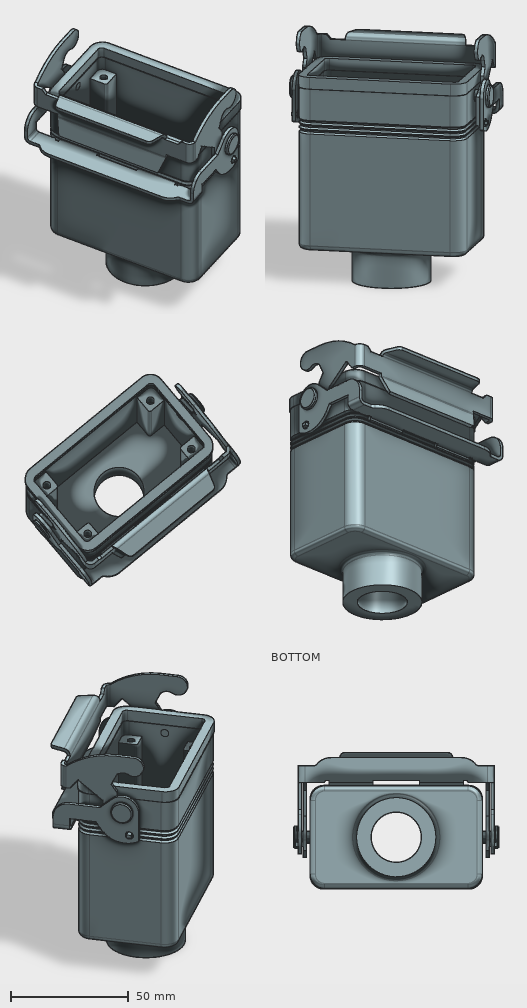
import cadquery as cq
import math

total_height = 107.0
margin = 1.1
half_length = 36.5
half_width = 21.7
rim_half_length = 36.6
rim_half_width = 22.0
rim_top = 91.1
rim_bottom = 85.9
rim_corner = 5.9
body_corner = 6.1
body_bottom = 15.8
body_edge_fillet = 2.1

groove_top = 72.3
groove_count = 3
groove_pitch = 2.0
groove_mouth = 1.8
groove_floor = 0.5
groove_depth = 1.1

mouth_half_length = 32.8
mouth_half_width = 18.0
mouth_corner = 1.8
undercut = 0.3
cavity_corner = 2.7
floor_thickness = 3.7
post_embed = 0.5

post_inner_x = 25.0
post_inner_y = 10.0
post_corner = 1.1
post_top = 79.2
screw_x = 28.6
screw_y = 13.6
screw_radius = 1.6
screw_depth = 12.8
drill_point_angle = 118.0

tube_radius = 16.8
bore_radius = 10.6
tube_fillet = 1.7

sheet = 1.5
bend_outer = 2.9
bend_inner = bend_outer - sheet

pivot_z = 82.0
pivot_radius = 2.6
rivet_end_radius = 1.7
head_radius = 4.8
head_outer_x = 43.5
head_thickness = 1.4
head_chamfer = 0.5

inner_lever_x = 39.5
front_y = -28.0
front_bottom = 89.2
front_top = 99.5
front_low_top = 97.5
raised_end_x = 34.5
raised_end_foot_x = 32.6
lobe_y = 4.3
lobe_radius = 4.4
notch_radius = 4.0
lobe_z = total_height - lobe_radius
hub_edge_bottom = 80.4
hub_bottom = 70.0
hub_back_y = 5.6
hub_back_z = 82.4
neck_edge_y = -9.1
neck_edge_top = 85.1
neck_back_y = -3.0
neck_back_top = 89.8
neck_back_bottom = 86.6
notch_end_y = -3.9
notch_end_rise = 1.0
throat_y = -5.5
throat_z = 93.3
armpit_y = -19.8
armpit_z = 93.5
front_foot_y = -23.3
bow_mid_y = -14.4
bow_mid_z = 105.2
bow_end_y = -3.6

grip_half_length = 26.3
grip_tip_half_length = 23.3
grip_tip_y = -36.0
grip_corner = 2.1

lip_bend_z = 87.7
lip_half_length = 26.8
lip_tip_half_length = 24.2
lip_tip_z = 80.4
lip_tip_y = -30.9
lip_corner = 1.4

peg_y = 3.0
peg_z = 70.9
peg_width = 1.9
peg_height = 1.4
peg_end_x = 42.64

outer_lever_x = 41.6
eye_radius = 7.1
arm_top = 82.7
arm_bottom = 75.8
arm_start_y = -10.0
arm_corner = 7.0
leg_inner_y = -23.1
leg_outer_y = -30.4
flange_bottom = 69.4
flange_top = flange_bottom + sheet
flange_tip_y = -33.8
bulge_foot_x = 34.9
bulge_hollow_x = 34.1
bulge_hollow_y = -30.6
bulge_turn_x = 33.5
bulge_turn_y = -31.2
bulge_round_x = 30.8
bulge_round_y = -33.2
bulge_crest_x = 27.6
heel_y = 1.0
heel_z = 79.9
heel_radius = 12.8
heel_end_y = -9.7
arm_bottom_start_y = -11.7
peg_hole_radius = 1.7

tongue_outer_x = 28.6
tongue_inner_x = 9.8
relief_outer_x = 30.6
relief_slope = 0.6
relief_y = -24.0
tongue_bend = 1.2
tongue_tip_y = -21.8
tongue_tip_z = 68.5


def rounded_block(half_x, half_y, corner, bottom, top):
    """Upright block centred on Z with rounded vertical edges."""
    block = cq.Workplane("XY", origin=(0, 0, bottom)).rect(2 * half_x, 2 * half_y).extrude(top - bottom)
    return block.edges("|Z").fillet(corner)


def x_cylinder(radius, start_x, end_x, y, z):
    """Cylinder along X."""
    return cq.Workplane("YZ", origin=(start_x, y, z)).circle(radius).extrude(end_x - start_x)


def box_between(x0, x1, y0, y1, z0, z1):
    """Box between two limits on each axis."""
    return cq.Workplane("XY").box(x1 - x0, y1 - y0, z1 - z0, centered=False).translate((x0, y0, z0))


def both_sides(shape):
    """The shape together with its mirror image in X."""
    return shape.union(shape.mirror("YZ"))


def groove_ring(top):
    """Ring cut out of the body by one groove with sloped flanks."""
    slope = (groove_mouth - groove_floor) / 2
    bottom = top - groove_mouth
    core_x = half_length - groove_depth
    core_y = half_width - groove_depth
    core_corner = body_corner - groove_depth
    taper = math.degrees(math.atan2(groove_depth, slope))
    ring = rounded_block(
        half_length + margin, half_width + margin, body_corner + margin, bottom, top
    )
    neck = rounded_block(core_x, core_y, core_corner, bottom, top)
    for height, direction in ((top - slope, 1), (bottom + slope, -1)):
        flank = (
            cq.Workplane("XY", origin=(0, 0, height))
            .sketch().rect(2 * core_x, 2 * core_y).vertices().fillet(core_corner).finalize()
            .extrude(direction * slope, taper=-taper)
        )
        neck = neck.union(flank)
    return ring.cut(neck)


def screw_hole():
    """Blind drilled hole with a conical tip."""
    tip_depth = screw_radius / math.tan(math.radians(drill_point_angle / 2))
    return (
        cq.Workplane("XZ", origin=(screw_x, screw_y, post_top))
        .polyline([
            (0, 0), (screw_radius, 0), (screw_radius, -screw_depth), (0, -screw_depth - tip_depth),
        ])
        .close().revolve(360, (0, 0), (0, 1))
    )


def corner_post(side_x, side_y, floor_z):
    """Screw post in one corner of the cavity."""
    outer_x = mouth_half_length + undercut + post_embed
    outer_y = mouth_half_width + undercut + post_embed
    post = box_between(post_inner_x, outer_x, post_inner_y, outer_y, floor_z, post_top)
    post = post.edges("|Z and <X and <Y").fillet(post_corner)
    post = post.cut(screw_hole())
    if side_x < 0:
        post = post.mirror("YZ")
    if side_y < 0:
        post = post.mirror("XZ")
    return post


def make_housing():
    body = rounded_block(half_length, half_width, body_corner, body_bottom, rim_bottom)
    body = body.faces("<Z").edges().fillet(body_edge_fillet)
    tube = cq.Workplane("XY").circle(tube_radius).extrude(body_bottom)
    body = body.union(tube)
    joint = cq.NearestToPointSelector((0, 0, body_bottom))
    body = body.edges("%CIRCLE").edges(joint).fillet(tube_fillet)
    body = body.union(rounded_block(rim_half_length, rim_half_width, rim_corner, rim_bottom, rim_top))

    for index in range(groove_count):
        body = body.cut(groove_ring(groove_top - index * groove_pitch))

    floor_z = body_bottom + floor_thickness
    cavity = rounded_block(
        mouth_half_length + undercut, mouth_half_width + undercut, cavity_corner, floor_z, rim_bottom
    )
    mouth = rounded_block(mouth_half_length, mouth_half_width, mouth_corner, rim_bottom, rim_top)
    body = body.cut(cavity).cut(mouth)
    for side_x in (-1, 1):
        for side_y in (-1, 1):
            body = body.union(corner_post(side_x, side_y, floor_z))

    bore = cq.Workplane("XY").circle(bore_radius).extrude(rim_top)
    rivet_hole = x_cylinder(rivet_end_radius, -half_length - margin, half_length + margin, 0, pivot_z)
    return body.cut(bore).cut(rivet_hole)


def inner_side_outline():
    """Hooked outline of the inner lever in the YZ plane, as far as the front face."""
    notch_z = lobe_z - math.sqrt((lobe_radius + notch_radius) ** 2 - lobe_y**2)
    share = notch_radius / (lobe_radius + notch_radius)
    lobe_to_notch = (lobe_y * share, notch_z + (lobe_z - notch_z) * share)
    hub_y = neck_edge_y + hub_edge_bottom - hub_bottom
    return (
        cq.Workplane("YZ")
        .moveTo(lobe_y, total_height)
        .threePointArc((lobe_y + lobe_radius, lobe_z), lobe_to_notch)
        .threePointArc((0, notch_z + notch_radius), (notch_end_y, notch_z + notch_end_rise))
        .lineTo(throat_y, throat_z)
        .lineTo(neck_back_y, neck_back_top)
        .lineTo(neck_back_y, neck_back_bottom)
        .lineTo(hub_back_y, hub_back_z)
        .lineTo(hub_back_y, hub_bottom)
        .lineTo(hub_y, hub_bottom)
        .tangentArcPoint((neck_edge_y, hub_edge_bottom), relative=False)
        .lineTo(neck_edge_y, neck_edge_top)
        .lineTo(armpit_y, armpit_z)
        .lineTo(front_foot_y, front_bottom)
        .lineTo(front_y, front_bottom)
        .lineTo(front_y, front_top)
        .lineTo(front_y + bend_outer, front_top)
        .threePointArc((bow_mid_y, bow_mid_z), (bow_end_y, total_height))
        .close()
    )


def channel():
    """Upright U of sheet that wraps the sides and the front."""
    rear_y = lobe_y + lobe_radius + margin
    outside = box_between(-inner_lever_x, inner_lever_x, front_y, rear_y, hub_bottom, total_height)
    outside = outside.edges("|Z and <Y").fillet(bend_outer)
    inside_x = inner_lever_x - sheet
    inside = box_between(-inside_x, inside_x, front_y + sheet, rear_y, hub_bottom, total_height)
    inside = inside.edges("|Z and <Y").fillet(bend_inner)
    return outside.cut(inside)


def front_top_gap():
    """Lowered stretch of the front plate's top edge."""
    return (
        cq.Workplane("XZ", origin=(0, front_y + 2 * sheet, 0))
        .polyline([
            (-raised_end_x, front_top), (-raised_end_foot_x, front_low_top),
            (raised_end_foot_x, front_low_top), (raised_end_x, front_top),
        ])
        .close().extrude(3 * sheet)
    )


def grip():
    """Narrow flange bent outward from the top of the front plate."""
    bend_centre_y = front_y - bend_inner
    top = front_low_top + bend_outer
    inner_y = front_y + sheet
    outer_diagonal = bend_outer * math.sqrt(0.5)
    inner_diagonal = bend_inner * math.sqrt(0.5)
    section = (
        cq.Workplane("YZ", origin=(-grip_half_length, 0, 0))
        .moveTo(inner_y, front_low_top)
        .threePointArc(
            (bend_centre_y + outer_diagonal, front_low_top + outer_diagonal), (bend_centre_y, top)
        )
        .lineTo(grip_tip_y, top)
        .lineTo(grip_tip_y, top - sheet)
        .lineTo(bend_centre_y, top - sheet)
        .threePointArc(
            (bend_centre_y + inner_diagonal, front_low_top + inner_diagonal), (front_y, front_low_top)
        )
        .close().extrude(2 * grip_half_length)
    )
    plan = (
        cq.Workplane("XY", origin=(0, 0, front_low_top))
        .polyline([
            (-grip_half_length, inner_y), (-grip_tip_half_length, grip_tip_y),
            (grip_tip_half_length, grip_tip_y), (grip_half_length, inner_y),
        ])
        .close().extrude(bend_outer)
        .edges("|Z and <Y").fillet(grip_corner)
    )
    return section.intersect(plan)


def lip():
    """Narrow lip below the front plate, bent away from the housing."""
    inner_y = front_y + sheet
    lean = math.atan2(front_y - lip_tip_y, lip_bend_z - lip_tip_z)
    step_y = sheet * math.cos(lean)
    step_z = sheet * math.sin(lean)
    inner_bend_z = lip_bend_z - sheet * math.tan(lean / 2)
    section = (
        cq.Workplane("YZ", origin=(-lip_half_length, 0, 0))
        .polyline([
            (front_y, front_bottom), (inner_y, front_bottom), (inner_y, inner_bend_z),
            (lip_tip_y + step_y, lip_tip_z - step_z), (lip_tip_y, lip_tip_z), (front_y, lip_bend_z),
        ])
        .close().extrude(2 * lip_half_length)
    )
    section = section.edges(cq.NearestToPointSelector((0, front_y, lip_bend_z))).fillet(bend_inner)
    section = section.edges(cq.NearestToPointSelector((0, inner_y, inner_bend_z))).fillet(bend_outer)
    bottom = lip_tip_z - step_z
    face = (
        cq.Workplane("XZ", origin=(0, inner_y, 0))
        .polyline([
            (-lip_half_length, front_bottom), (-lip_half_length, lip_bend_z), (-lip_tip_half_length, bottom),
            (lip_tip_half_length, bottom), (lip_half_length, lip_bend_z), (lip_half_length, front_bottom),
        ])
        .close().extrude(inner_y - lip_tip_y)
        .edges("|Y and <Z").fillet(lip_corner)
    )
    return section.intersect(face)


def stop_peg():
    """Square peg of the inner lever that stands in the outer lever's hole."""
    return box_between(
        -peg_end_x, sheet - inner_lever_x, peg_y - peg_width / 2, peg_y + peg_width / 2,
        peg_z - peg_height / 2, peg_z + peg_height / 2,
    )


def make_inner_lever():
    profile = inner_side_outline().extrude(inner_lever_x, both=True)
    lever = channel().intersect(profile).cut(front_top_gap())
    return lever.union(grip()).union(lip()).union(both_sides(stop_peg()))


def outer_side_plate():
    """Eye, arm and leg of the outer lever on the -X side."""
    reach = math.hypot(arm_start_y, arm_top - pivot_z)
    tangent_angle = math.atan2(arm_top - pivot_z, arm_start_y) - math.acos(eye_radius / reach)
    tangent_point = (
        eye_radius * math.cos(tangent_angle),
        pivot_z + eye_radius * math.sin(tangent_angle),
    )
    corner_y = leg_outer_y + arm_corner
    corner_z = arm_top - arm_corner
    diagonal = arm_corner * math.sqrt(0.5)
    heel_end_z = heel_z - math.sqrt(heel_radius**2 - (heel_end_y - heel_y) ** 2)
    heel_start_z = heel_z - math.sqrt(heel_radius**2 - (eye_radius - heel_y) ** 2)
    plate = (
        cq.Workplane("YZ", origin=(-outer_lever_x, 0, 0))
        .moveTo(eye_radius, pivot_z)
        .threePointArc((0, pivot_z + eye_radius), tangent_point)
        .lineTo(arm_start_y, arm_top)
        .lineTo(corner_y, arm_top)
        .threePointArc((corner_y - diagonal, corner_z + diagonal), (leg_outer_y, corner_z))
        .lineTo(leg_outer_y, flange_bottom + bend_outer)
        .lineTo(leg_inner_y, flange_bottom + bend_outer)
        .lineTo(leg_inner_y, arm_bottom)
        .lineTo(arm_bottom_start_y, arm_bottom)
        .lineTo(heel_end_y, heel_end_z)
        .threePointArc((heel_y, heel_z - heel_radius), (eye_radius, heel_start_z))
        .close().extrude(sheet)
    )
    return plate.cut(x_cylinder(peg_hole_radius, -outer_lever_x, sheet - outer_lever_x, peg_y, peg_z))


def flange_bend():
    """Quarter bend from the leg into the flange on the -X side."""
    centre_x = bend_outer - outer_lever_x
    centre_z = flange_bottom + bend_outer
    ring = (
        cq.Workplane("XZ", origin=(centre_x, leg_inner_y, centre_z))
        .circle(bend_outer).circle(bend_inner).extrude(leg_inner_y - leg_outer_y)
    )
    quarter = box_between(-outer_lever_x, centre_x, leg_outer_y, leg_inner_y, flange_bottom, centre_z)
    return ring.intersect(quarter)


def flange():
    """Bottom flange with a bulged outer edge and a relieved inner edge."""
    end_x = outer_lever_x - bend_outer
    return (
        cq.Workplane("XY", origin=(0, 0, flange_bottom))
        .moveTo(-end_x, leg_inner_y)
        .lineTo(-end_x, leg_outer_y)
        .lineTo(-bulge_foot_x, leg_outer_y)
        .threePointArc((-bulge_hollow_x, bulge_hollow_y), (-bulge_turn_x, bulge_turn_y))
        .threePointArc((-bulge_round_x, bulge_round_y), (-bulge_crest_x, flange_tip_y))
        .lineTo(bulge_crest_x, flange_tip_y)
        .threePointArc((bulge_round_x, bulge_round_y), (bulge_turn_x, bulge_turn_y))
        .threePointArc((bulge_hollow_x, bulge_hollow_y), (bulge_foot_x, leg_outer_y))
        .lineTo(end_x, leg_outer_y)
        .lineTo(end_x, leg_inner_y)
        .lineTo(relief_outer_x, leg_inner_y)
        .lineTo(relief_outer_x - relief_slope, relief_y)
        .lineTo(relief_slope - relief_outer_x, relief_y)
        .lineTo(-relief_outer_x, leg_inner_y)
        .close().extrude(sheet)
    )


def tongue():
    """Tongue on the flange's inner edge, bent down, on the -X side."""
    return (
        cq.Workplane("YZ", origin=(-tongue_outer_x, 0, 0))
        .moveTo(relief_y, flange_top)
        .lineTo(tongue_tip_y - tongue_bend, flange_top)
        .tangentArcPoint((tongue_tip_y, flange_top - tongue_bend), relative=False)
        .lineTo(tongue_tip_y, tongue_tip_z)
        .lineTo(leg_inner_y, tongue_tip_z)
        .lineTo(leg_inner_y, flange_bottom)
        .lineTo(relief_y, flange_bottom)
        .close().extrude(tongue_outer_x - tongue_inner_x)
    )


def make_outer_lever():
    side = outer_side_plate().union(flange_bend()).union(tongue())
    return flange().union(both_sides(side))


def rivet():
    """Headed pivot on the -X side that ends flush with the cavity wall."""
    head_inner_x = head_outer_x - head_thickness
    head = x_cylinder(head_radius, -head_outer_x, -head_inner_x, 0, pivot_z)
    head = head.faces("<X").edges().chamfer(head_chamfer)
    shank = x_cylinder(pivot_radius, -head_inner_x, -half_length, 0, pivot_z)
    end = x_cylinder(rivet_end_radius, -half_length, -mouth_half_length - undercut, 0, pivot_z)
    return head.union(shank).union(end)


def make_latch():
    return make_inner_lever().union(make_outer_lever()).union(both_sides(rivet()))


housing = make_housing()
latch = make_latch()

result = cq.Compound.makeCompound([housing.solids().val(), latch.solids().val()])